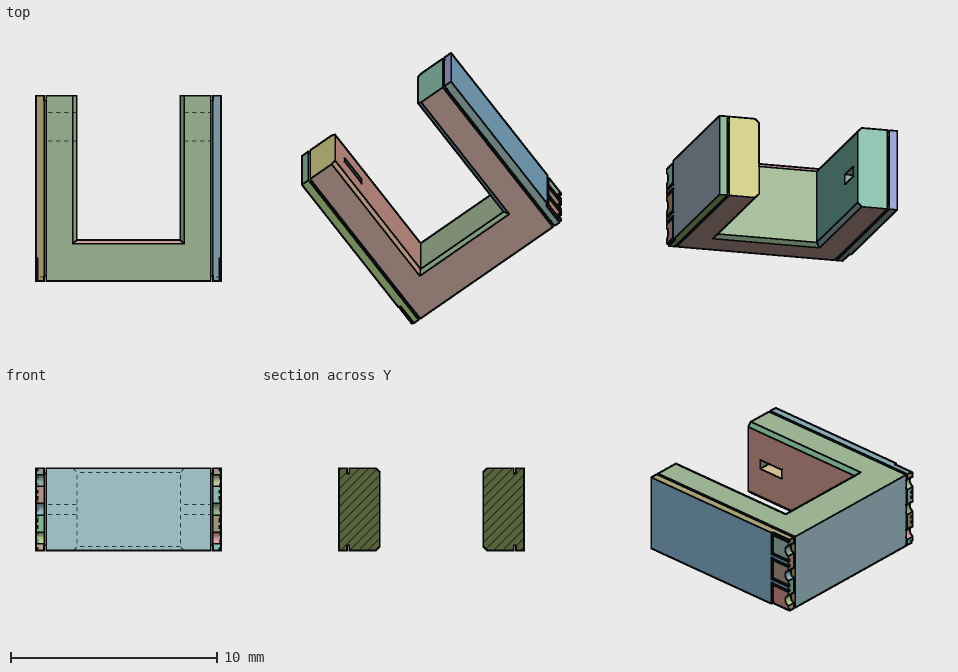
import cadquery as cq

width = 9.0
length = 9.0
height = 4.0

housing_width = 8.0
opening_width = 5.0
base_thickness = 2.0
opening_chamfer = 0.2

board_thickness = 0.4
spacer_inset = 0.25

pad_size = 1.0
pad_pitch = 1.4
pad_count = 3
groove_width = 0.1
groove_depth = 0.1
notch_radius = 0.3
notch_center_offset = 0.1

aperture_length = 1.4
aperture_height = 0.5
aperture_end_distance = 1.5

front_y = -length / 2
back_y = length / 2
mid_z = height / 2
board_outer_x = -width / 2
board_inner_x = board_outer_x + board_thickness
housing_side_x = -housing_width / 2
opening_side_x = opening_width / 2
opening_floor_y = front_y + base_thickness
pad_centers_z = [mid_z + (i - (pad_count - 1) / 2) * pad_pitch for i in range(pad_count)]


def block(x_min, x_max, y_min, y_max, z_min, z_max):
    """Axis-aligned block between the given limits."""
    size = (x_max - x_min, y_max - y_min, z_max - z_min)
    return cq.Workplane("XY").box(*size, centered=False).translate((x_min, y_min, z_min))


def opening_outline(z, margin):
    """Rectangle of the opening at level z, widened by margin on its sides and floor."""
    half_width = opening_side_x + margin
    floor_y = opening_floor_y - margin
    return (
        cq.Workplane("XY", origin=(0, 0, z))
        .moveTo(-half_width, floor_y)
        .lineTo(half_width, floor_y)
        .lineTo(half_width, back_y)
        .lineTo(-half_width, back_y)
        .close()
    )


def opening_flare(z_rim, z_inner):
    """Chamfer volume from the widened rim to the straight part of the opening."""
    rim = opening_outline(z_rim, opening_chamfer).val()
    inner = opening_outline(z_inner, 0).val()
    return cq.Workplane(obj=cq.Solid.makeLoft([rim, inner], True))


def make_housing():
    body = block(housing_side_x, -housing_side_x, front_y, back_y, 0, height)
    body = body.cut(opening_outline(0, 0).extrude(height))
    body = body.cut(opening_flare(0, opening_chamfer))
    return body.cut(opening_flare(height, height - opening_chamfer))


def make_pad_groove(center_z):
    """U-shaped groove around one pad, open at the board's front edge."""
    pad_half = pad_size / 2
    groove_half = pad_half + groove_width
    pad_end_y = front_y + pad_size
    floor_x = board_outer_x + groove_depth
    outer = block(
        board_outer_x, floor_x,
        front_y, pad_end_y + groove_width,
        center_z - groove_half, center_z + groove_half,
    )
    pad = block(
        board_outer_x, floor_x,
        front_y, pad_end_y,
        center_z - pad_half, center_z + pad_half,
    )
    return outer.cut(pad)


def make_edge_notch(center_z):
    """Round notch across the board's front edge at one pad."""
    return (
        cq.Workplane("YZ", origin=(board_outer_x, front_y - notch_center_offset, center_z))
        .circle(notch_radius)
        .extrude(board_thickness)
    )


def make_board():
    """Board on the -X side with its pads."""
    board = block(board_outer_x, board_inner_x, front_y, back_y, 0, height)
    for center_z in pad_centers_z:
        board = board.cut(make_pad_groove(center_z))
        board = board.cut(make_edge_notch(center_z))
    return board


def make_spacer():
    """Inset layer between the -X board and the housing."""
    return block(
        board_inner_x, housing_side_x,
        front_y + spacer_inset, back_y - spacer_inset,
        spacer_inset, height - spacer_inset,
    )


def make_aperture():
    """Rectangular window through the -X arm, closed outside by the spacer."""
    center_y = back_y - aperture_end_distance
    return block(
        housing_side_x, -opening_side_x,
        center_y - aperture_length / 2, center_y + aperture_length / 2,
        mid_z - aperture_height / 2, mid_z + aperture_height / 2,
    )


housing = make_housing()
side_assembly = make_board().union(make_spacer())
aperture = make_aperture()

result = (
    housing
    .cut(aperture)
    .cut(aperture.mirror("YZ"))
    .union(side_assembly)
    .union(side_assembly.mirror("YZ"))
)